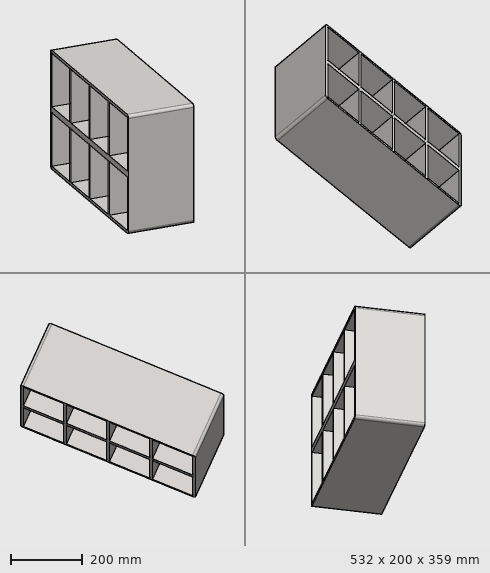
import cadquery as cq

width = 532.0
depth = 200.0
height = 359.0

board = 9.0
middle_shelf = 2 * board
corner_radius = board
columns = 4
rows = 2

opening_width = (width - (columns + 1) * board) / columns
opening_height = (height - 2 * board - (rows - 1) * middle_shelf) / rows
column_pitch = opening_width + board
row_pitch = opening_height + middle_shelf


def make_body():
    """Solid block with its four long edges along Y rounded."""
    return cq.Workplane("XY").box(width, depth, height).edges("|Y").fillet(corner_radius)


def make_openings():
    """Grid of compartments running right through the depth."""
    return (
        cq.Workplane("XZ")
        .rarray(column_pitch, row_pitch, columns, rows)
        .rect(opening_width, opening_height)
        .extrude(depth / 2, both=True)
    )


result = make_body().cut(make_openings())